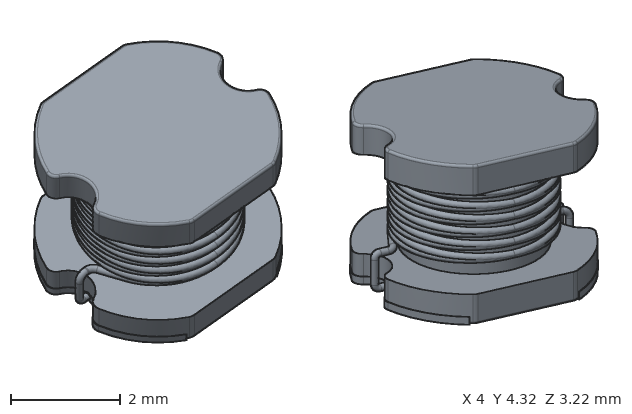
import cadquery as cq
import math

core_height = 3.21
flange_height = 0.605
flange_width = 4.0
flange_radius = 2.25
notch_radius = 0.5
corner_radius = 0.2
rim_radius = 0.05
post_radius = 1.4

plating = 0.01
pad_height = 0.15
pad_inner_y = 1.128

wire_radius = 0.075
coil_radius = 1.505
coil_pitch = 0.26
coil_turns = 6
coil_bottom = 0.805
lead_start_x = 0.65
turn_bend = 0.195
front_drop_bend = 0.155
back_drop_bend = 0.1
foot_bend = 0.1
front_lead_reach = 1.965
back_lead_reach = 2.048
foot_z = 0.1

half_pitch = coil_pitch / 2
end_angle = math.degrees(math.acos(lead_start_x / coil_radius))
first_crossing = coil_bottom + coil_pitch * end_angle / 360
crossings = 2 * coil_turns
last_crossing = first_crossing + half_pitch * (crossings - 1)


def flange_prism(height, growth=0):
    """Round flange with two flats and two wire notches on Z = 0, its sides grown outward."""
    radius = flange_radius + growth
    disc = cq.Workplane("XY").circle(radius).extrude(height)
    flats = cq.Workplane("XY").rect(flange_width + 2 * growth, 2 * radius).extrude(height)
    notches = (
        cq.Workplane("XY")
        .pushPoints([(0, -flange_radius), (0, flange_radius)])
        .circle(notch_radius - growth)
        .extrude(height)
    )
    return disc.intersect(flats).cut(notches).edges("|Z").fillet(corner_radius + growth)


def solder_pads():
    """Two plated ends that wrap the lower flange and stand proud of it by the plating."""
    plated = flange_prism(pad_height + plating, plating).translate((0, 0, -plating))
    bare_middle = cq.Workplane("XY").box(2 * flange_width, 2 * pad_inner_y, 4 * pad_height)
    return plated.cut(bare_middle)


def make_core():
    """Post between two equal flanges, with the solder pads on the lower one."""
    post = cq.Workplane("XY").circle(post_radius).extrude(core_height)
    lower = flange_prism(flange_height).faces("<Z").edges().fillet(rim_radius)
    upper = (
        flange_prism(flange_height)
        .faces(">Z")
        .edges()
        .fillet(rim_radius)
        .translate((0, 0, core_height - flange_height))
    )
    return post.union(lower).union(upper).union(solder_pads())


def coil_arc(start_angle, sweep_angle, start_z):
    """Round wire wound counter-clockwise and rising about Z; angles in degrees from +X."""
    rise = coil_pitch * sweep_angle / 360
    helix = cq.Wire.makeHelix(coil_pitch, rise, coil_radius)
    section = cq.Plane(origin=(coil_radius, 0, 0), xDir=(0, 0, 1), normal=(0, 1, 0))
    arc = cq.Workplane(section).circle(wire_radius).sweep(cq.Workplane(helix), isFrenet=True)
    return arc.rotate((0, 0, 0), (0, 0, 1), start_angle).translate((0, 0, start_z))


def slab(bottom, top):
    """Block that holds everything of the winding between two heights."""
    side = 4 * coil_radius
    return cq.Workplane("XY", origin=(0, 0, bottom)).rect(side, side).extrude(top - bottom)


def with_mirror(strand):
    """The strand together with its mirror image in the XZ plane."""
    return strand.union(strand.mirror("XZ"))


def make_coil():
    """Two mirrored strands that merge at every half turn, on +X and -X alternately.

    Each half turn is the mirror image of the next one in the level where they cross,
    so every stretch is trimmed to the heights between its own two crossings.
    """
    half_turn = coil_arc(0, 180, 0).intersect(slab(0, half_pitch))
    link = with_mirror(half_turn).val()
    links = []
    for index in range(crossings - 1):
        turned = link.rotate(cq.Vector(0, 0, 0), cq.Vector(0, 0, 1), 180 * index)
        links.append(turned.translate(cq.Vector(0, 0, first_crossing + half_pitch * index)))

    bottom_arc = coil_arc(-end_angle, end_angle, coil_bottom)
    bottom_arc = bottom_arc.intersect(slab(0, first_crossing))
    top_arc = coil_arc(180, 180 - end_angle, last_crossing)
    top_arc = top_arc.intersect(slab(last_crossing, core_height))
    ends = [with_mirror(bottom_arc).val(), with_mirror(top_arc).val()]
    rings = links[0].fuse(*links[1:], glue=True)
    return cq.Workplane(rings.fuse(*ends))


def make_lead(reach, drop_bend):
    """Wire from the front end of the coil, out over the flange and down into the notch."""
    start = cq.Vector(lead_start_x, -math.sqrt(coil_radius**2 - lead_start_x**2), coil_bottom)
    tangent = cq.Vector(start.y, -start.x, 0).normalized()
    outward = cq.Vector(0, -1, 0)
    downward = cq.Vector(0, 0, -1)

    corner = start - tangent * (start.x / tangent.x)
    setback = turn_bend * math.tan(tangent.getAngle(outward) / 2)
    turn_start = corner - tangent * setback
    turn_end = corner + outward * setback

    drop_start = cq.Vector(0, drop_bend - reach, coil_bottom)
    drop_top = cq.Vector(0, -reach, coil_bottom - drop_bend)
    drop_bottom = cq.Vector(0, -reach, foot_z + foot_bend)
    foot_start = cq.Vector(0, foot_bend - reach, foot_z)
    foot_end = cq.Vector(0, notch_radius + wire_radius - flange_radius, foot_z)
    path = cq.Wire.assembleEdges([
        cq.Edge.makeLine(start, turn_start),
        cq.Edge.makeTangentArc(turn_start, tangent, turn_end),
        cq.Edge.makeLine(turn_end, drop_start),
        cq.Edge.makeTangentArc(drop_start, outward, drop_top),
        cq.Edge.makeLine(drop_top, drop_bottom),
        cq.Edge.makeTangentArc(drop_bottom, downward, foot_start),
        cq.Edge.makeLine(foot_start, foot_end),
    ])
    section = cq.Plane(origin=start, xDir=(0, 0, 1), normal=tangent)
    return cq.Workplane(section).circle(wire_radius).sweep(cq.Workplane(path))


def make_winding(drum):
    """Coil and both leads as one wire body; the feet end flush on the notch walls."""
    front_lead = make_lead(front_lead_reach, front_drop_bend)
    back_lead = make_lead(back_lead_reach, back_drop_bend).mirror("XZ")
    return make_coil().union(front_lead).union(back_lead).cut(drum)


core = make_core()
winding = make_winding(core)
result = cq.Compound.makeCompound([core.solids().val(), winding.solids().val()])